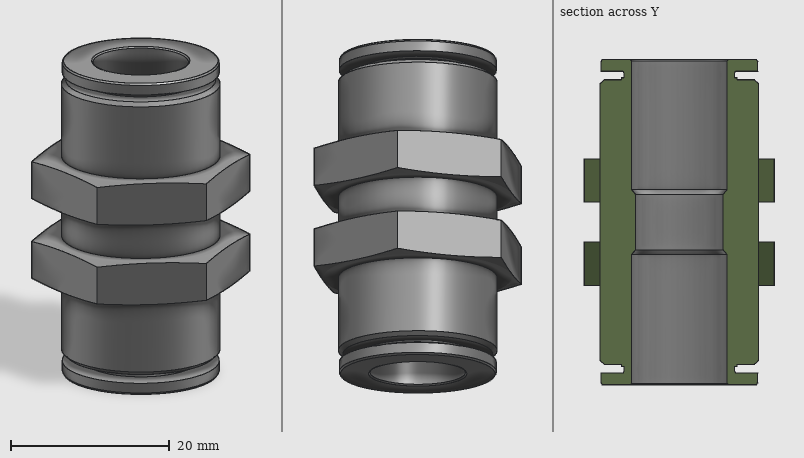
import cadquery as cq
import math

total_length = 41.0
half_length = total_length / 2

barrel_diameter = 20.0
barrel_end_diameter = 18.9
barrel_chamfer_length = 0.5
barrel_end_inset = 2.55

flange_diameter = 19.8
flange_thickness = 1.5
flange_chamfer_width = 0.15
flange_chamfer_length = 0.25
neck_diameter = 14.0
neck_root_width = 0.12
neck_root_length = 0.25
shoulder_diameter = 14.6
shoulder_height = 0.25

socket_diameter = 12.0
socket_mouth_diameter = 12.4
socket_depth = 16.4
socket_cone_length = 0.6
passage_diameter = 11.0

nut_across_flats = 24.0
nut_height = 5.5
nut_center_height = 5.25
nut_face_diameter = 23.8
nut_corner_drop = 0.33


def end_outline_points():
    """Radius and height of the upper end, from the barrel up to the collar face."""
    barrel_r = barrel_diameter / 2
    flange_r = flange_diameter / 2
    neck_r = neck_diameter / 2
    shoulder_r = shoulder_diameter / 2
    barrel_end = half_length - barrel_end_inset
    shoulder_top = barrel_end + shoulder_height
    flange_base = half_length - flange_thickness
    return [
        (barrel_r, barrel_end - barrel_chamfer_length),
        (barrel_end_diameter / 2, barrel_end),
        (shoulder_r, barrel_end),
        (shoulder_r, shoulder_top),
        (neck_r, shoulder_top),
        (neck_r, flange_base - neck_root_length),
        (neck_r + neck_root_width, flange_base),
        (flange_r, flange_base),
        (flange_r, half_length - flange_chamfer_length),
        (flange_r - flange_chamfer_width, half_length),
    ]


def bore_outline_points():
    """Radius and height of the upper half of the bore, from the mouth inward."""
    mouth_r = socket_mouth_diameter / 2
    socket_r = socket_diameter / 2
    passage_r = passage_diameter / 2
    mouth_chamfer = mouth_r - socket_r
    socket_floor = half_length - socket_depth
    return [
        (mouth_r, half_length),
        (socket_r, half_length - mouth_chamfer),
        (socket_r, socket_floor),
        (passage_r, socket_floor - socket_cone_length),
    ]


def make_fitting():
    """Revolved body, mirrored about mid-length."""
    upper = end_outline_points() + bore_outline_points()
    lower = [(r, -z) for r, z in reversed(upper)]
    return cq.Workplane("XZ").polyline(upper + lower).close().revolve(360, (0, 0), (0, 1))


def make_nut(center_z):
    """Hexagonal nut, corners on the Y axis, both faces chamfered by a shallow cone."""
    corner_diameter = nut_across_flats / math.cos(math.pi / 6)
    corner_r = corner_diameter / 2
    face_r = nut_face_diameter / 2
    half_height = nut_height / 2
    corner_z = half_height - nut_corner_drop
    hexagon = (
        cq.Workplane("XY")
        .polygon(6, corner_diameter)
        .circle(barrel_diameter / 2)
        .extrude(half_height, both=True)
        .rotate((0, 0, 0), (0, 0, 1), 30)
    )
    chamfer_envelope = (
        cq.Workplane("XZ")
        .polyline([
            (0, -half_height),
            (face_r, -half_height),
            (corner_r, -corner_z),
            (corner_r, corner_z),
            (face_r, half_height),
            (0, half_height),
        ])
        .close()
        .revolve(360, (0, 0), (0, 1))
    )
    return hexagon.intersect(chamfer_envelope).translate((0, 0, center_z))


fitting = make_fitting()
nuts = [make_nut(side * nut_center_height) for side in (1, -1)]

result = cq.Compound.makeCompound([fitting.val(), *[nut.val().Solids()[0] for nut in nuts]])